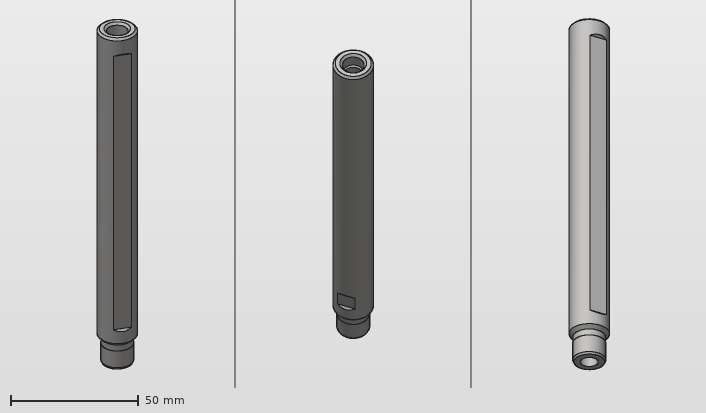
import cadquery as cq
import math

length = 152.0
rod_radius = 16.0 / 2
spigot_radius = 13.0 / 2
edge_chamfer = 0.9
spigot_chamfer_width = 0.5

shoulder_height = 12.8
thread_length = 8.5
neck_radius = 12.9 / 2

bore_radius = 7.0 / 2
socket_radius = 8.5 / 2
socket_mouth_radius = 10.5 / 2
socket_depth = 5.6
drill_point_angle = 118.0

flat_depth = 0.9
flat_bottom = 19.0
wrench_flat_top = 25.1
long_flat_top = 144.0


def turned_body():
    """Revolve the outer profile of the rod, neck and spigot."""
    neck_top = shoulder_height - (rod_radius - neck_radius)
    profile = [
        (0, 0),
        (spigot_radius - spigot_chamfer_width, 0),
        (spigot_radius, edge_chamfer),
        (spigot_radius, thread_length),
        (neck_radius, thread_length),
        (neck_radius, neck_top),
        (rod_radius, shoulder_height),
        (rod_radius, length - edge_chamfer),
        (rod_radius - edge_chamfer, length),
        (0, length),
    ]
    return cq.Workplane("XZ").polyline(profile).close().revolve(360, (0, 0), (0, 1))


def bore_cutter():
    """Through bore with a countersunk, drill-pointed socket at the top."""
    floor_height = length - socket_depth
    cone_height = (socket_radius - bore_radius) / math.tan(math.radians(drill_point_angle / 2))
    profile = [
        (0, 0),
        (bore_radius, 0),
        (bore_radius, floor_height - cone_height),
        (socket_radius, floor_height),
        (socket_radius, length - (socket_mouth_radius - socket_radius)),
        (socket_mouth_radius, length),
        (0, length),
    ]
    return cq.Workplane("XZ").polyline(profile).close().revolve(360, (0, 0), (0, 1))


def flat_cutter(side, top):
    """Cutter for a flat facing +X (side = 1) or -X (side = -1)."""
    floor_x = side * (rod_radius - flat_depth)
    outer_x = side * (rod_radius + flat_depth)
    run_out = 2 * flat_depth
    profile = [
        (floor_x, flat_bottom),
        (outer_x, flat_bottom - run_out),
        (outer_x, top + run_out),
        (floor_x, top),
    ]
    return cq.Workplane("XZ").polyline(profile).close().extrude(rod_radius, both=True)


result = turned_body().cut(bore_cutter())
result = result.cut(flat_cutter(-1, wrench_flat_top))
result = result.cut(flat_cutter(1, long_flat_top))